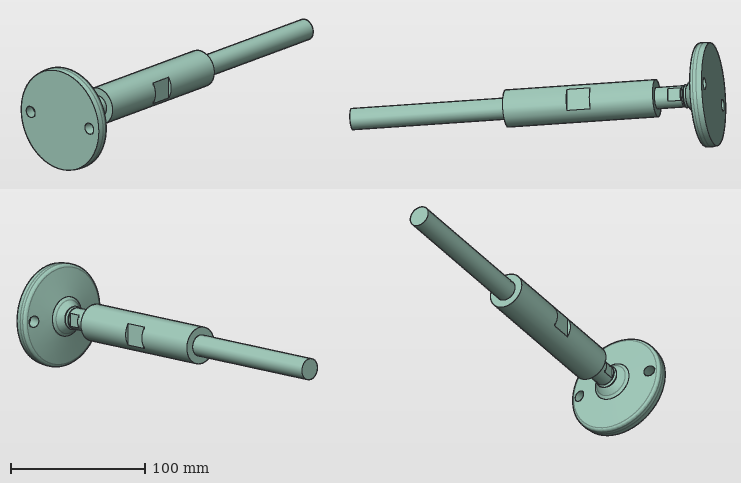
import cadquery as cq
import math

total_length = 277.0

foot_radius = 39.0
sole_radius = 38.5
rim_start = 4.2
shoulder_height = 9.1
shoulder_fillet = 2.8
cone_inner_radius = 15.0
cone_end = 13.5
dome_base_radius = 12.7
dome_base = 15.2
dome_mid_radius = 10.5
dome_mid = 17.7
foot_top = 19.7
mount_hole_diameter = 8.5
mount_hole_offset = 29.0
mount_hole_length = 33.2
cone_slope = math.degrees(math.atan2(cone_end - shoulder_height, foot_radius - cone_inner_radius))

spindle_radius = 16.0 / 2
collar_radius = 9.0
collar_peak = 21.0
neck_radius = 7.2
neck_position = 22.2
neck_end = 23.0
spindle_flat_start = 23.8
spindle_flat_end = 33.5
spindle_flat_width = 12.7
socket_bottom = 8.3

sleeve_radius = 28.0 / 2
sleeve_start = 43.5
sleeve_end = 158.5
sleeve_flat_start = 92.0
sleeve_flat_end = 109.7
sleeve_flat_width = 22.7


def revolve_about_y(profile):
    """Close a half-profile drawn in XY and turn it fully about the Y axis."""
    return profile.close().revolve(360, (0, 0), (0, 1))


def cylinder_along_y(radius, start, end):
    """Solid cylinder between two positions on the Y axis."""
    direction = cq.Vector(0, 1, 0)
    return cq.Workplane(cq.Solid.makeCylinder(radius, end - start, cq.Vector(0, start, 0), direction))


def cut_wrench_flats(body, radius, start, end, width):
    """Cut two opposite flats, facing -X and +X, the given width apart."""
    depth = radius - width / 2
    for side in (-1, 1):
        cutter = cq.Workplane().box(depth, end - start, 2 * radius)
        cutter = cutter.translate((side * (width + depth) / 2, (start + end) / 2, 0))
        body = body.cut(cutter)
    return body


def cut_mount_holes(body):
    """Drill two through holes square to the cone, leaning outward with height."""
    lean = math.radians(cone_slope)
    for side in (-1, 1):
        axis = cq.Vector(side * math.sin(lean), math.cos(lean), 0)
        base_point = cq.Vector(side * mount_hole_offset, 0, 0)
        start_point = base_point - axis * (mount_hole_length / 2)
        drill = cq.Solid.makeCylinder(mount_hole_diameter / 2, mount_hole_length, start_point, axis)
        body = body.cut(cq.Workplane(drill))
    return body


def make_foot():
    """Round foot with a sloping top, a domed hub and a socket for the spindle."""
    profile = (
        cq.Workplane("XY")
        .lineTo(sole_radius, 0)
        .lineTo(foot_radius, rim_start)
        .lineTo(foot_radius, shoulder_height)
        .lineTo(cone_inner_radius, cone_end)
        .lineTo(dome_base_radius, dome_base)
        .threePointArc((dome_mid_radius, dome_mid), (spindle_radius, foot_top))
        .lineTo(0, foot_top)
    )
    foot = revolve_about_y(profile)
    foot = foot.edges(cq.selectors.RadiusNthSelector(-1)).edges(">Y").fillet(shoulder_fillet)
    foot = foot.cut(cylinder_along_y(spindle_radius, socket_bottom, foot_top))
    return cut_mount_holes(foot)


def make_spindle():
    """Long spindle with a grooved collar just above the foot and two flats."""
    profile = (
        cq.Workplane("XY")
        .moveTo(0, socket_bottom)
        .lineTo(spindle_radius, socket_bottom)
        .lineTo(spindle_radius, foot_top)
        .lineTo(collar_radius, collar_peak)
        .lineTo(neck_radius, neck_position)
        .lineTo(spindle_radius, neck_end)
        .lineTo(spindle_radius, total_length)
        .lineTo(0, total_length)
    )
    spindle = revolve_about_y(profile)
    return cut_wrench_flats(
        spindle, spindle_radius, spindle_flat_start, spindle_flat_end, spindle_flat_width
    )


def make_sleeve():
    """Sleeve that fits around the spindle, with two flats at mid-length."""
    sleeve = cylinder_along_y(sleeve_radius, sleeve_start, sleeve_end)
    sleeve = sleeve.cut(cylinder_along_y(spindle_radius, sleeve_start, sleeve_end))
    return cut_wrench_flats(
        sleeve, sleeve_radius, sleeve_flat_start, sleeve_flat_end, sleeve_flat_width
    )


foot = make_foot()
spindle = make_spindle()
sleeve = make_sleeve()

result = cq.Compound.makeCompound([foot.val(), spindle.val(), sleeve.val()])